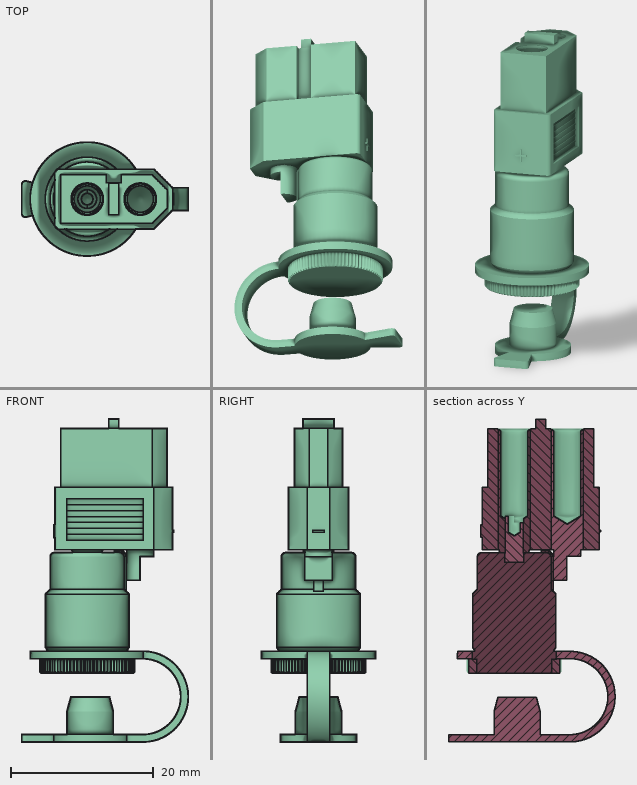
import cadquery as cq
import math


cap_thickness = 1.1
strap_width = 3.2
strap_radius = 6.4
strap_centre_x = 7.8
washer_diameter = 16.0
cap_centre_x = 0.4
cap_disc_radius = 5.35
plug_radius = 3.25
plug_tip_radius = 2.7
plug_shoulder_z = 4.3
plug_top_z = 6.35
tab_end_x = -9.2
tab_end_width = 5.4
tab_corner_radius = 0.55
washer_top_z = 2 * strap_radius
washer_bottom_z = washer_top_z - cap_thickness

nut_radius = 6.65
nut_height = 2.05
nut_top_chamfer = 0.15
nut_bottom_chamfer = 0.23
tooth_count = 80
tooth_depth = 0.25
nut_bottom_z = washer_bottom_z - nut_height

shell_neck_radius = 5.2
shell_radius = 5.9
shell_base_radius = 5.52
shell_base_top_z = 13.3
shell_cone_bottom_z = 20.75
shell_top_z = 26.57
shell_top_fillet = 0.65
shell_cone_top_z = shell_cone_bottom_z + shell_radius - shell_neck_radius

housing_bottom_z = 26.95
housing_shoulder_z = 35.7
housing_top_z = 43.95
key_top_z = 45.25
contact_spacing = 7.42
base_left_x = -4.53
base_right_x = 11.95
base_width = 8.4
base_chamfer = 2.63
base_corner_radius = 0.55
block_left_x = -3.7
block_right_x = 11.2
block_width = 6.8
block_chamfer = 2.1
key_length = 4.4
key_thickness = 1.45
notch_width = 2.1
notch_floor_y = 2.25

panel_left_x = -2.9
panel_right_x = 7.85
panel_bottom_z = 28.3
panel_height = 5.8
panel_depth = 0.65
rib_count = 7
rib_height = 0.1

mark_length = 1.65
plus_height = 1.8
mark_thickness = 0.25
mark_height = 0.2
mark_z = 29.55

contact_radius = 2.25
contact_recess = 0.15
bore_radius = 1.85
bore_mouth_radius = 2.15
bore_floor_z = 31.7
drill_point_angle = 118
drill_tip_slope = 1 / math.tan(math.radians(drill_point_angle / 2))
collar_radius = 2.17
collar_bottom_radius = 2.05
cup_radius = 1.9
cup_collar_bottom_z = 26.0
cup_bottom_z = 22.7
contact_top_z = housing_top_z - contact_recess
bore_tip_z = bore_floor_z - bore_radius * drill_tip_slope

pin_radius = 1.3
pin_bore_radius = 0.8
pin_bore_depth = 2.25
pin_step = 0.9
pin_seat_depth = 1.35
pin_bottom_z = shell_top_z - pin_seat_depth
pin_top_z = bore_floor_z

lug_thickness = 0.25
lug_width = 1.35
lug_inner_x = 3.75


def box(x_min, x_max, y_min, y_max, z_min, z_max):
    size = (x_max - x_min, y_max - y_min, z_max - z_min)
    return cq.Workplane("XY").box(*size, centered=False).translate((x_min, y_min, z_min))


def cylinder(radius, z_min, z_max):
    return cq.Workplane("XY", origin=(0, 0, z_min)).circle(radius).extrude(z_max - z_min)


def turned(points):
    """Solid of revolution about Z from a closed (radius, z) outline."""
    return cq.Workplane("XZ").polyline(points).close().revolve(360, (0, 0), (0, 1))


def pointed_prism(left_x, right_x, width, chamfer, z_min, z_max):
    """Rectangular block with both corners of its right end cut at 45 degrees."""
    half = width / 2
    outline = [
        (left_x, -half),
        (right_x - chamfer, -half),
        (right_x, chamfer - half),
        (right_x, half - chamfer),
        (right_x - chamfer, half),
        (left_x, half),
    ]
    return cq.Workplane("XY", origin=(0, 0, z_min)).polyline(outline).close().extrude(z_max - z_min)


def make_cap():
    """Washer and plug disc joined by a U-shaped strap, with a flared pull tab."""
    half_strap = strap_width / 2
    inner_radius = strap_radius - cap_thickness
    strap = (
        cq.Workplane("XZ", origin=(0, half_strap, 0))
        .moveTo(cap_centre_x, 0)
        .lineTo(strap_centre_x, 0)
        .threePointArc((strap_centre_x + strap_radius, strap_radius), (strap_centre_x, washer_top_z))
        .lineTo(shell_base_radius, washer_top_z)
        .lineTo(shell_base_radius, washer_bottom_z)
        .lineTo(strap_centre_x, washer_bottom_z)
        .threePointArc((strap_centre_x + inner_radius, strap_radius), (strap_centre_x, cap_thickness))
        .lineTo(cap_centre_x, cap_thickness)
        .close()
        .extrude(strap_width)
    )
    neck_x = cap_centre_x - math.sqrt(cap_disc_radius**2 - half_strap**2)
    tab_outline = [
        (tab_end_x, -tab_end_width / 2),
        (neck_x, -half_strap),
        (cap_centre_x, -half_strap),
        (cap_centre_x, half_strap),
        (neck_x, half_strap),
        (tab_end_x, tab_end_width / 2),
    ]
    tab = cq.Workplane("XY").polyline(tab_outline).close().extrude(cap_thickness)
    tab = tab.edges("|Z and <X").fillet(tab_corner_radius)
    plug = turned(
        [
            (0, 0),
            (cap_disc_radius, 0),
            (cap_disc_radius, cap_thickness),
            (plug_radius, cap_thickness),
            (plug_radius, plug_shoulder_z),
            (plug_tip_radius, plug_top_z),
            (0, plug_top_z),
        ]
    ).translate((cap_centre_x, 0, 0))
    washer = cylinder(washer_diameter / 2, washer_bottom_z, washer_top_z)
    shell_hole = cylinder(shell_radius, washer_bottom_z, washer_top_z)
    return plug.union(tab).union(strap).union(washer).cut(shell_hole)


def make_nut():
    """Ring with V-shaped knurl teeth and chamfered rims."""
    outline = []
    for index in range(2 * tooth_count):
        angle = math.pi * index / tooth_count
        radius = nut_radius - tooth_depth * ((index + 1) % 2)
        outline.append((radius * math.cos(angle), radius * math.sin(angle)))
    toothed = cq.Workplane("XY", origin=(0, 0, nut_bottom_z)).polyline(outline).close().extrude(nut_height)
    blank = cylinder(nut_radius, nut_bottom_z, washer_bottom_z)
    blank = blank.faces(">Z").chamfer(nut_top_chamfer).faces("<Z").chamfer(nut_bottom_chamfer)
    return toothed.intersect(blank).cut(cylinder(shell_neck_radius, nut_bottom_z, washer_bottom_z))


def make_shell():
    """Stepped jack shell that fills the washer hole, with a narrower tail in the nut."""
    shell = turned(
        [
            (0, nut_bottom_z),
            (shell_neck_radius, nut_bottom_z),
            (shell_neck_radius, washer_bottom_z),
            (shell_radius, washer_bottom_z),
            (shell_radius, washer_top_z),
            (shell_base_radius, washer_top_z),
            (shell_radius, shell_base_top_z),
            (shell_radius, shell_cone_bottom_z),
            (shell_neck_radius, shell_cone_top_z),
            (shell_neck_radius, shell_top_z),
            (0, shell_top_z),
        ]
    )
    shell = shell.faces(">Z").edges().fillet(shell_top_fillet)
    return shell.cut(cylinder(pin_radius, pin_bottom_z, shell_top_z))


def make_pin():
    """Centre pin with a drilled, half-cut solder cup at its top."""
    pin = turned(
        [
            (0, pin_bottom_z),
            (pin_radius, pin_bottom_z),
            (pin_radius, pin_top_z),
            (pin_bore_radius, pin_top_z),
            (pin_bore_radius, pin_top_z - pin_bore_depth),
            (0, pin_top_z - pin_bore_depth - pin_bore_radius * drill_tip_slope),
        ]
    )
    return pin.cut(box(0, pin_radius, -pin_radius, pin_radius, pin_top_z - pin_step, pin_top_z))


def make_lug():
    """Bent strip that follows the shell from its top face down to its cone."""
    outer_radius = shell_neck_radius + lug_thickness
    fillet_x = shell_neck_radius - shell_top_fillet
    fillet_z = shell_top_z - shell_top_fillet
    lug_top_z = shell_top_z + lug_thickness
    diagonal = math.sqrt(0.5)
    inner_bend = shell_top_fillet * diagonal
    outer_bend = (shell_top_fillet + lug_thickness) * diagonal
    ring = (
        cq.Workplane("XZ")
        .moveTo(0, shell_top_z)
        .lineTo(fillet_x, shell_top_z)
        .threePointArc((fillet_x + inner_bend, fillet_z + inner_bend), (shell_neck_radius, fillet_z))
        .lineTo(shell_neck_radius, shell_cone_top_z)
        .lineTo(outer_radius, shell_cone_top_z - lug_thickness)
        .lineTo(outer_radius, fillet_z)
        .threePointArc((fillet_x + outer_bend, fillet_z + outer_bend), (fillet_x, lug_top_z))
        .lineTo(0, lug_top_z)
        .close()
        .revolve(360, (0, 0), (0, 1))
    )
    half_width = lug_width / 2
    strip = box(lug_inner_x, outer_radius, -half_width, half_width, shell_cone_bottom_z, housing_bottom_z)
    return ring.intersect(strip)


def make_contact_barrel():
    """Drilled socket that fills a housing hole."""
    return turned(
        [
            (0, housing_bottom_z),
            (contact_radius, housing_bottom_z),
            (contact_radius, contact_top_z),
            (bore_mouth_radius, contact_top_z),
            (bore_radius, contact_top_z - (bore_mouth_radius - bore_radius)),
            (bore_radius, bore_floor_z),
            (0, bore_tip_z),
        ]
    )


def make_pin_contact():
    """Left contact, standing on the shell with the centre pin inside it."""
    collar = turned(
        [
            (0, shell_top_z),
            (collar_bottom_radius, shell_top_z),
            (collar_radius, housing_bottom_z),
            (0, housing_bottom_z),
        ]
    )
    return make_contact_barrel().union(collar).cut(cylinder(pin_radius, shell_top_z, bore_floor_z))


def make_cup_contact():
    """Right contact with a half-cut solder tail below the housing."""
    collar = cylinder(cup_radius, cup_collar_bottom_z, housing_bottom_z)
    tail = cylinder(cup_radius, cup_bottom_z, cup_collar_bottom_z)
    tail = tail.cut(box(0, cup_radius, -cup_radius, cup_radius, cup_bottom_z, cup_collar_bottom_z))
    return make_contact_barrel().union(collar).union(tail).translate((contact_spacing, 0, 0))


def make_panel_recess():
    """Recess in the front face with a floor of saw-tooth ribs."""
    face_y = -base_width / 2
    floor_y = face_y + panel_depth
    pitch = panel_height / rib_count
    outline = [(face_y, panel_bottom_z)]
    for index in range(rib_count):
        rib_z = panel_bottom_z + index * pitch
        outline.append((floor_y, rib_z))
        outline.append((floor_y - rib_height, rib_z + pitch))
    outline.append((face_y, panel_bottom_z + panel_height))
    profile = cq.Workplane("YZ", origin=(panel_left_x, 0, 0)).polyline(outline).close()
    return profile.extrude(panel_right_x - panel_left_x)


def make_polarity_marks():
    """Raised plus on the left end of the housing and minus on the right end."""
    half_long = mark_length / 2
    half_thick = mark_thickness / 2
    half_plus = plus_height / 2
    left_x = base_left_x - mark_height
    right_x = base_right_x + mark_height
    low_z = mark_z - half_thick
    high_z = mark_z + half_thick
    plus = box(left_x, base_left_x, -half_long, half_long, low_z, high_z).union(
        box(left_x, base_left_x, -half_thick, half_thick, mark_z - half_plus, mark_z + half_plus)
    )
    minus = box(base_right_x, right_x, -half_long, half_long, low_z, high_z)
    return plus, minus


def make_housing():
    """Stepped connector housing with key, notch, contact holes and ribbed panel."""
    base = pointed_prism(
        base_left_x, base_right_x, base_width, base_chamfer, housing_bottom_z, housing_shoulder_z
    )
    base = base.edges("|Z and <X").fillet(base_corner_radius)
    block = pointed_prism(
        block_left_x, block_right_x, block_width, block_chamfer, housing_shoulder_z, housing_top_z
    )
    middle_x = contact_spacing / 2
    half_notch = notch_width / 2
    notch = box(
        middle_x - half_notch,
        middle_x + half_notch,
        notch_floor_y,
        block_width / 2,
        housing_shoulder_z,
        housing_top_z,
    )
    half_key = key_thickness / 2
    key = box(
        middle_x - half_key, middle_x + half_key, -key_length / 2, key_length / 2, housing_top_z, key_top_z
    )
    housing = base.union(block.cut(notch)).union(key).cut(make_panel_recess())
    for mark in make_polarity_marks():
        housing = housing.union(mark)
    for hole_x in (0, contact_spacing):
        hole = cylinder(contact_radius, housing_bottom_z, housing_top_z)
        housing = housing.cut(hole.translate((hole_x, 0, 0)))
    return housing


cap = make_cap()
nut = make_nut()
shell = make_shell()
pin = make_pin()
lug = make_lug()
pin_contact = make_pin_contact()
cup_contact = make_cup_contact()
housing = make_housing()

bodies = [cap, nut, shell, pin, lug, pin_contact, cup_contact, housing]
result = cq.Compound.makeCompound([body.val() for body in bodies])